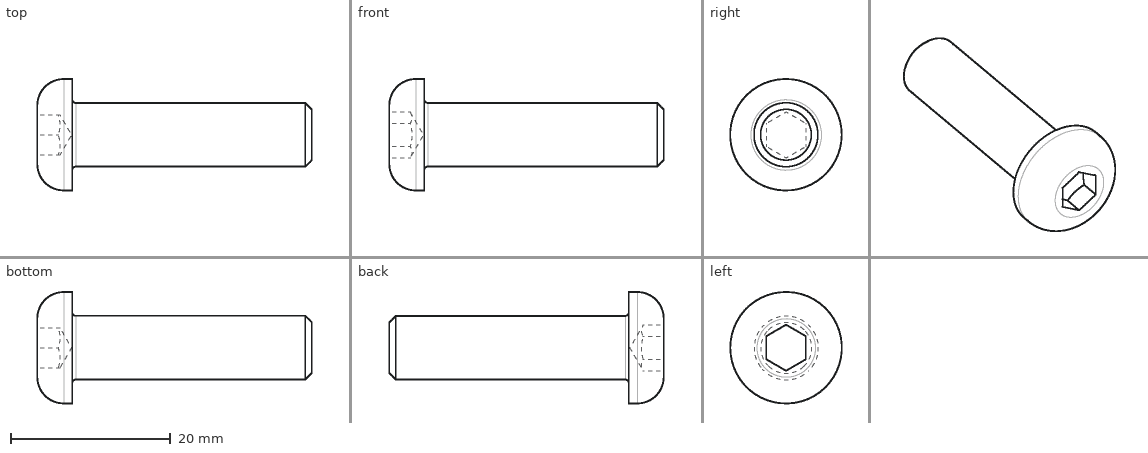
import cadquery as cq
import math

total_length = 34.4
head_radius = 14.0 / 2
head_height = 4.4
rim_height = 1.05
dome_radius = head_height - rim_height
face_radius = head_radius - dome_radius
shank_radius = 8.0 / 2
neck_fillet = 0.4
tip_chamfer = 0.83
socket_flats = 5.0
socket_depth = 2.6
socket_cone_angle = 120.0


def make_body():
    """Revolve the half profile of head, neck and shank about X."""
    dome_mid = (
        dome_radius * (1 - math.sqrt(0.5)),
        face_radius + dome_radius * math.sqrt(0.5),
    )
    neck_mid = (
        head_height + neck_fillet * (1 - math.sqrt(0.5)),
        shank_radius + neck_fillet * (1 - math.sqrt(0.5)),
    )
    return (
        cq.Workplane("XY")
        .lineTo(0, face_radius)
        .threePointArc(dome_mid, (dome_radius, head_radius))
        .lineTo(head_height, head_radius)
        .lineTo(head_height, shank_radius + neck_fillet)
        .threePointArc(neck_mid, (head_height + neck_fillet, shank_radius))
        .lineTo(total_length - tip_chamfer, shank_radius)
        .lineTo(total_length, shank_radius - tip_chamfer)
        .lineTo(total_length, 0)
        .close()
        .revolve(360, (0, 0, 0), (1, 0, 0))
    )


def make_socket():
    """Hexagonal recess, corners pointing along Z, with a conical bottom that reaches the corners."""
    corner_radius = socket_flats / math.sqrt(3)
    cone_height = corner_radius / math.tan(math.radians(socket_cone_angle / 2))
    tip_depth = socket_depth + cone_height
    hexagon = (
        cq.Workplane("YZ")
        .polygon(6, 2 * corner_radius)
        .extrude(tip_depth)
        .rotate((0, 0, 0), (1, 0, 0), 90)
    )
    pointed_bore = (
        cq.Workplane("XY")
        .lineTo(0, corner_radius)
        .lineTo(socket_depth, corner_radius)
        .lineTo(tip_depth, 0)
        .close()
        .revolve(360, (0, 0, 0), (1, 0, 0))
    )
    return hexagon.intersect(pointed_bore)


result = make_body().cut(make_socket())